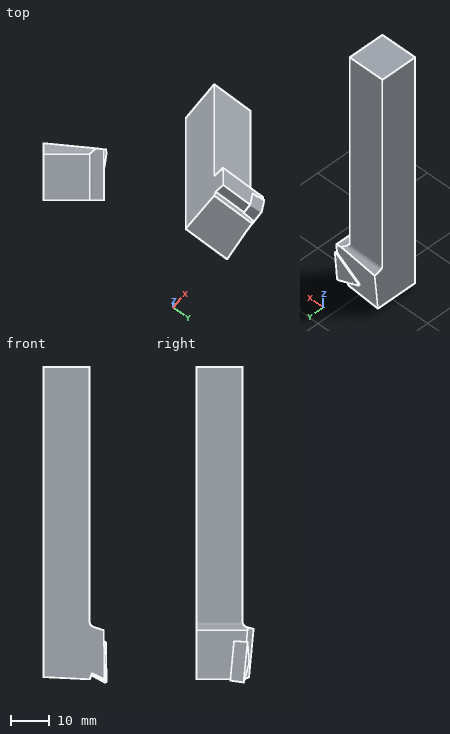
import cadquery as cq
import math

SHANK_SIDE = 11.95
TOTAL_HEIGHT = 81.35

HEAD_WIDTH_TOP = 15.6
HEAD_WIDTH_BOTTOM = 15.7
SIDE_SHOULDER_Z = 13.5
BACK_SHOULDER_Z = 13.8
HEAD_DEPTH = 14.8
SIDE_SHOULDER_ANGLE = 18.0
BACK_SHOULDER_ANGLE = 15.0
SIDE_SHOULDER_RADIUS = 1.4
BACK_SHOULDER_RADIUS = 1.5

HEEL_Z = 1.4
TOE_Z = 0.8
NOTCH_X = 12.6
NOTCH_Z = 2.35
NOSE_SEAT_Z = 0.9

BACK_FALL_X = 0.1
BACK_FALL_Z = 0.095
CUTTER_SIZE = 81.35

INSERT_SIDE = 11.15
INSERT_THICKNESS = 3.5
INSERT_PROUD = 0.3
INSERT_RELIEF = 2.5
INSERT_LEAN = 1.5
INSERT_NOSE_RADIUS = 0.4
INSERT_CORNER_X = 16.35
INSERT_CORNER_Z = -0.285


def back_plane(x, z, offset=0.0):
    """Work plane on the sloping back, local X pointing left and local Y up."""
    y = HEAD_DEPTH - BACK_FALL_X * x + BACK_FALL_Z * (z - BACK_SHOULDER_Z) + offset
    return cq.Plane(
        origin=(x, y, z),
        xDir=(-1, BACK_FALL_X, 0),
        normal=(BACK_FALL_X, 1, -BACK_FALL_Z),
    )


def side_profile():
    """Shank, right shoulder and underside, extruded along Y."""
    run = HEAD_WIDTH_TOP - SHANK_SIDE
    root_z = SIDE_SHOULDER_Z + run * math.tan(math.radians(SIDE_SHOULDER_ANGLE))
    outline = [
        (0, HEEL_Z),
        (0, TOTAL_HEIGHT),
        (SHANK_SIDE, TOTAL_HEIGHT),
        (SHANK_SIDE, root_z),
        (HEAD_WIDTH_TOP, SIDE_SHOULDER_Z),
        (HEAD_WIDTH_BOTTOM, NOSE_SEAT_Z),
        (NOTCH_X, NOTCH_Z),
        (SHANK_SIDE, TOE_Z),
    ]
    prism = cq.Workplane("XZ").polyline(outline).close().extrude(-HEAD_DEPTH)
    root = cq.selectors.NearestToPointSelector((SHANK_SIDE, HEAD_DEPTH / 2, root_z))
    return prism.edges(root).fillet(SIDE_SHOULDER_RADIUS)


def depth_profile():
    """Shank and back shoulder, extruded along X."""
    run = HEAD_DEPTH - SHANK_SIDE
    root_z = BACK_SHOULDER_Z + run * math.tan(math.radians(BACK_SHOULDER_ANGLE))
    outline = [
        (0, 0),
        (0, TOTAL_HEIGHT),
        (SHANK_SIDE, TOTAL_HEIGHT),
        (SHANK_SIDE, root_z),
        (HEAD_DEPTH, BACK_SHOULDER_Z),
        (HEAD_DEPTH, 0),
    ]
    prism = cq.Workplane("YZ").polyline(outline).close().extrude(HEAD_WIDTH_BOTTOM)
    root = cq.selectors.NearestToPointSelector((HEAD_WIDTH_BOTTOM / 2, SHANK_SIDE, root_z))
    return prism.edges(root).fillet(BACK_SHOULDER_RADIUS)


def make_insert():
    """Equilateral insert with rounded corners and relieved flanks."""
    plane = back_plane(INSERT_CORNER_X, INSERT_CORNER_Z, INSERT_PROUD)
    outer_angle = math.radians(90 - INSERT_LEAN)
    inner_angle = outer_angle - math.radians(60)
    outline = [(0, 0)]
    for angle in (outer_angle, inner_angle):
        outline.append((INSERT_SIDE * math.cos(angle), INSERT_SIDE * math.sin(angle)))
    outline.append(outline[0])
    triangle = cq.Sketch().polygon(outline).vertices().fillet(INSERT_NOSE_RADIUS)
    return cq.Workplane(plane).placeSketch(triangle).extrude(-INSERT_THICKNESS, taper=INSERT_RELIEF)


def make_holder(insert):
    """Shank and head, trimmed to the back plane and pocketed for the insert."""
    holder = side_profile().intersect(depth_profile())
    beyond_back = (
        cq.Workplane(back_plane(0, BACK_SHOULDER_Z))
        .rect(CUTTER_SIZE, CUTTER_SIZE)
        .extrude(CUTTER_SIZE)
    )
    return holder.cut(beyond_back).cut(insert)


insert = make_insert()
holder = make_holder(insert)

result = cq.Compound.makeCompound([holder.val(), insert.val()])